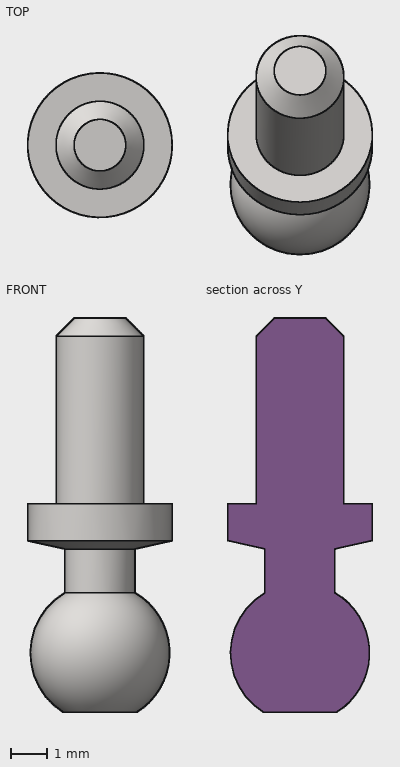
import cadquery as cq
import math

total_length = 10.9
flange_top = 5.77
flange_rim_bottom = 4.74
flange_cone_drop = 0.23

pin_radius = 2.43 / 2
flange_radius = 4.0 / 2
neck_radius = 1.95 / 2
ball_radius = 1.93

tip_chamfer = 0.5
ball_flat_radius = 1.01

ball_center = math.sqrt(ball_radius**2 - ball_flat_radius**2)
neck_bottom = ball_center + math.sqrt(ball_radius**2 - neck_radius**2)
neck_top = flange_rim_bottom - flange_cone_drop

profile = (
    cq.Workplane("XZ")
    .lineTo(ball_flat_radius, 0)
    .threePointArc((ball_radius, ball_center), (neck_radius, neck_bottom))
    .lineTo(neck_radius, neck_top)
    .lineTo(flange_radius, flange_rim_bottom)
    .lineTo(flange_radius, flange_top)
    .lineTo(pin_radius, flange_top)
    .lineTo(pin_radius, total_length - tip_chamfer)
    .lineTo(pin_radius - tip_chamfer, total_length)
    .lineTo(0, total_length)
    .close()
)

result = profile.revolve(360, (0, 0, 0), (0, 1, 0))